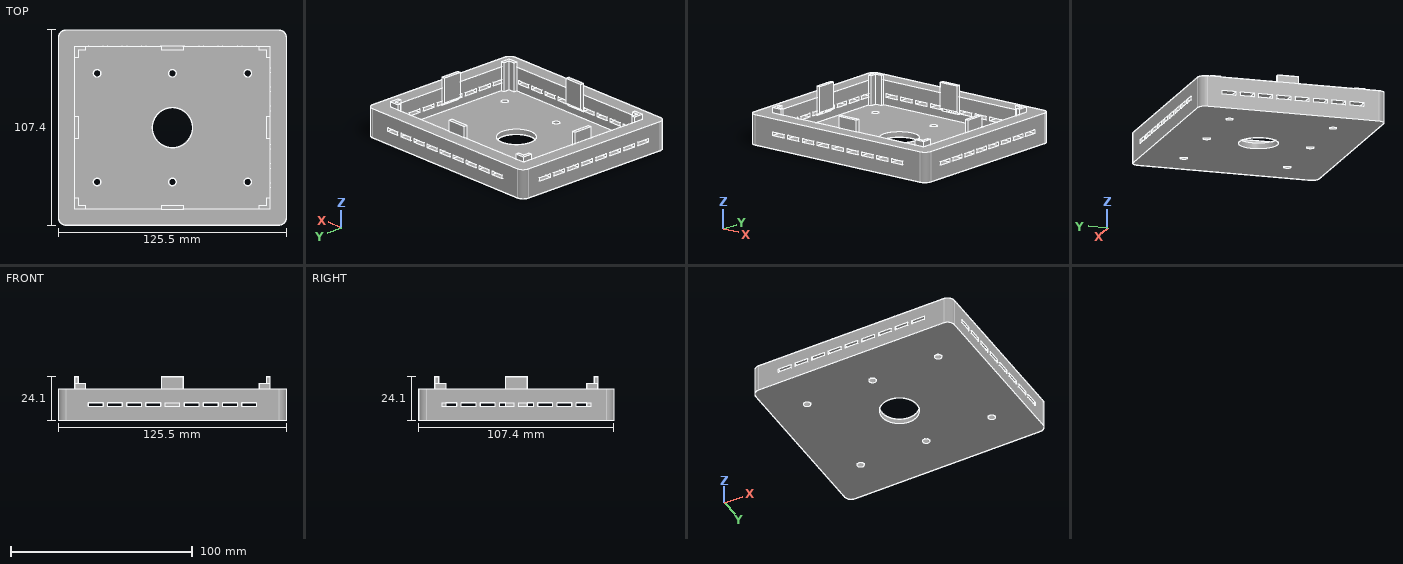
import cadquery as cq

LENGTH = 125.5
WIDTH = 107.4
BODY_HEIGHT = 17.5
CORNER_RADIUS = 4.3
WALL = 9.0
FLOOR = 3.3
CAVITY_LENGTH = LENGTH - 2 * WALL
CAVITY_WIDTH = WIDTH - 2 * WALL

CENTRE_HOLE_DIAMETER = 22.0
SCREW_HOLE_DIAMETER = 4.0
SCREW_PITCH_X = 41.4
SCREW_PITCH_Y = 59.7
SCREWS_ALONG_X = 3
SCREWS_ALONG_Y = 2

SLOT_LENGTH = 8.0
SLOT_HEIGHT = 2.0
SLOT_BOTTOM = 7.8
SLOT_PITCH = 10.5
SLOTS_ALONG_X = 9
SLOTS_ALONG_Y = 8

POST_LEG = 6.0
POST_THICKNESS = 2.0
POST_TOP = 20.5

TAB_WIDTH = 12.0
TAB_THICKNESS = 2.0
TAB_TOP = 24.1
TAB_BOTTOM = 9.3
TAB_EMBED = 0.3


def make_tray():
    """Open box with rounded vertical corners and a flat floor."""
    body = cq.Workplane("XY").rect(LENGTH, WIDTH).extrude(BODY_HEIGHT)
    body = body.edges("|Z").fillet(CORNER_RADIUS)
    cavity = (
        cq.Workplane("XY", origin=(0, 0, FLOOR))
        .rect(CAVITY_LENGTH, CAVITY_WIDTH)
        .extrude(BODY_HEIGHT)
    )
    return body.cut(cavity)


def make_floor_holes():
    """Large centre hole and two rows of three screw holes."""
    centre = cq.Workplane("XY").circle(CENTRE_HOLE_DIAMETER / 2).extrude(FLOOR)
    screws = (
        cq.Workplane("XY")
        .rarray(SCREW_PITCH_X, SCREW_PITCH_Y, SCREWS_ALONG_X, SCREWS_ALONG_Y)
        .circle(SCREW_HOLE_DIAMETER / 2)
        .extrude(FLOOR)
    )
    return centre.union(screws)


def make_slots():
    """Two rows of cutters, each passing through a pair of opposite walls."""
    through_y = (
        cq.Workplane("XY", origin=(0, 0, SLOT_BOTTOM))
        .rarray(SLOT_PITCH, 1.3, SLOTS_ALONG_X, 1)
        .rect(SLOT_LENGTH, WIDTH)
        .extrude(SLOT_HEIGHT)
    )
    through_x = (
        cq.Workplane("XY", origin=(0, 0, SLOT_BOTTOM))
        .rarray(1.3, SLOT_PITCH, 1, SLOTS_ALONG_Y)
        .rect(LENGTH, SLOT_LENGTH)
        .extrude(SLOT_HEIGHT)
    )
    return through_y.union(through_x)


def make_corner_post(side_x, side_y):
    """L-shaped post standing on the floor in one corner of the cavity."""
    outline = [
        (0, 0),
        (POST_LEG, 0),
        (POST_LEG, POST_THICKNESS),
        (POST_THICKNESS, POST_THICKNESS),
        (POST_THICKNESS, POST_LEG),
        (0, POST_LEG),
    ]
    placed = [
        (side_x * (CAVITY_LENGTH / 2 - x), side_y * (CAVITY_WIDTH / 2 - y))
        for x, y in outline
    ]
    base = cq.Workplane("XY", origin=(0, 0, FLOOR)).polyline(placed).close()
    return base.extrude(POST_TOP - FLOOR)


def make_tab(wall_distance, embed, angle):
    """Upright tab on the +X wall, sloped at 45 degrees underneath, turned about Z to its wall."""
    inner = wall_distance - TAB_THICKNESS
    outer = wall_distance + embed
    profile = [
        (inner, TAB_BOTTOM),
        (inner, TAB_TOP),
        (outer, TAB_TOP),
        (outer, TAB_BOTTOM - (outer - inner)),
    ]
    tab = cq.Workplane("XZ").polyline(profile).close().extrude(TAB_WIDTH / 2, both=True)
    return tab.rotate((0, 0, 0), (0, 0, 1), angle)


result = make_tray().cut(make_floor_holes()).cut(make_slots())

for side_x in (-1, 1):
    for side_y in (-1, 1):
        result = result.union(make_corner_post(side_x, side_y))

for angle in (0, 180):
    result = result.union(make_tab(CAVITY_LENGTH / 2, 0, angle))
for angle in (90, 270):
    result = result.union(make_tab(CAVITY_WIDTH / 2, TAB_EMBED, angle))